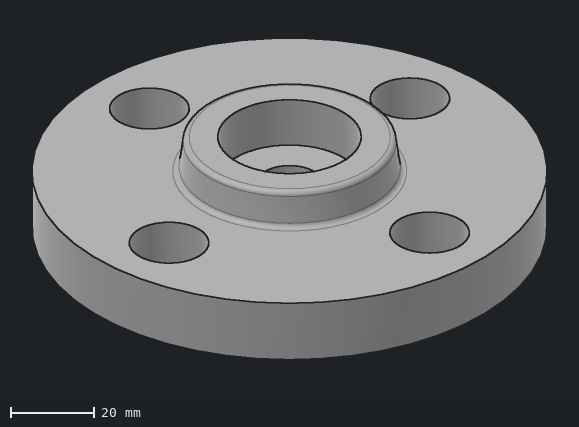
import cadquery as cq

flange_diameter = 124.0
flange_thickness = 15.9
total_height = 25.4

hub_base_diameter = 53.7
hub_top_diameter = 51.0
hub_top_fillet = 1.5
hub_root_fillet = 1.5

bore_diameter = 15.3
socket_diameter = 34.5
socket_depth = 12.7

bolt_circle_diameter = 88.9
bolt_hole_diameter = 19.1
bolt_hole_count = 4


def make_flange_with_hub():
    """Disc and tapered hub revolved about Z, with the hub edges rounded."""
    profile = (
        cq.Workplane("XZ")
        .lineTo(flange_diameter / 2, 0)
        .lineTo(flange_diameter / 2, flange_thickness)
        .lineTo(hub_base_diameter / 2, flange_thickness)
        .lineTo(hub_top_diameter / 2, total_height)
        .lineTo(0, total_height)
        .close()
    )
    body = profile.revolve(360, (0, 0, 0), (0, 1, 0))
    hub_root = cq.selectors.RadiusNthSelector(1)
    body = body.edges("%CIRCLE").edges(hub_root).fillet(hub_root_fillet)
    return body.faces(">Z").edges().fillet(hub_top_fillet)


def cut_centre_bore(body):
    """Through bore, widened to a pipe socket from the top of the hub."""
    hub_top = body.faces(">Z").workplane()
    return hub_top.cboreHole(bore_diameter, socket_diameter, socket_depth)


def cut_bolt_holes(body):
    """Through holes evenly spaced on the bolt circle."""
    holes = (
        cq.Workplane("XY")
        .polarArray(bolt_circle_diameter / 2, 0, 360, bolt_hole_count)
        .circle(bolt_hole_diameter / 2)
        .extrude(flange_thickness)
    )
    return body.cut(holes)


flange_with_hub = make_flange_with_hub()
bored_flange = cut_centre_bore(flange_with_hub)
result = cut_bolt_holes(bored_flange)